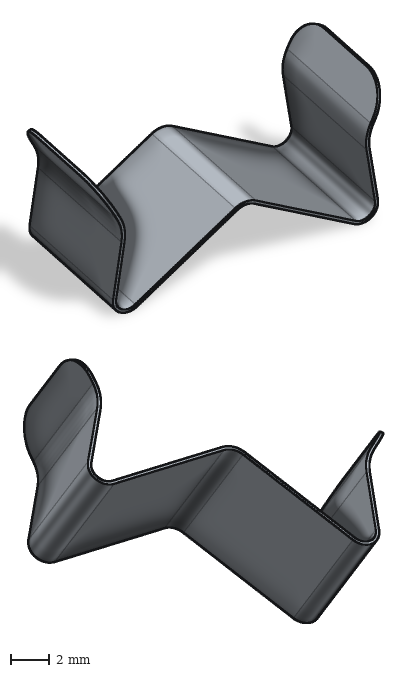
import cadquery as cq
import math

strip_width = 8.0
overall_height = 8.3
thickness = 0.2
corner_radius = 2.0

crest_radius = 1.05
foot_radius = 0.8
neck_radius = 2.5

web_slope = 31.0
leg_lean = 8.5
lip_flare = 26.5

foot_center_y = 7.27
leg_length = 3.55


def direction(angle):
    """Unit (Y, Z) vector at an angle in degrees, counterclockwise from +Y."""
    return math.cos(math.radians(angle)), math.sin(math.radians(angle))


def move(point, distance, angle):
    dy, dz = direction(angle)
    return point[0] + distance * dy, point[1] + distance * dz


web_normal = 90 - web_slope

foot_center = (foot_center_y, foot_radius + thickness)
crest_to_foot = crest_radius + thickness + foot_radius
web_length = (foot_center_y - crest_to_foot * direction(web_normal)[0]) / direction(web_slope)[0]
crest_center = move(
    move(foot_center, -crest_to_foot, web_normal), web_length, 180 - web_slope
)
foot_to_neck = foot_radius + thickness + neck_radius
neck_center = move(move(foot_center, foot_to_neck, leg_lean), leg_length, 90 + leg_lean)

lip_angle = 90 - lip_flare
lip_start = move(neck_center, neck_radius + thickness, 180 - lip_flare)
lip_length = (overall_height - lip_start[1]) / direction(lip_angle)[1]


def bend_points(center, radius, start, end):
    """Start, middle and end points of a bend arc."""
    return [move(center, radius, angle) for angle in (start, (start + end) / 2, end)]


def face_bends(upper):
    """Arcs of the upper (inner) or lower (outer) sheet face, from crest to lip."""
    outside = thickness if upper else 0
    inside = 0 if upper else thickness
    return [
        bend_points(crest_center, crest_radius + outside, 90, web_normal),
        bend_points(foot_center, foot_radius + inside, 180 + web_normal, 360 + leg_lean),
        bend_points(neck_center, neck_radius + outside, 180 + leg_lean, 180 - lip_flare),
    ]


def half_spring():
    """The +Y half of the strip, cut at the middle of the crest."""
    upper_bends = face_bends(upper=True)
    lower_bends = face_bends(upper=False)
    crest_bottom = lower_bends[0][0]
    profile = cq.Workplane("YZ").moveTo(*crest_bottom)
    for start, middle, end in upper_bends:
        profile = profile.lineTo(*start).threePointArc(middle, end)
    profile = profile.lineTo(*move(upper_bends[-1][-1], lip_length, lip_angle))
    profile = profile.lineTo(*move(lower_bends[-1][-1], lip_length, lip_angle))
    for start, middle, end in reversed(lower_bends):
        profile = profile.lineTo(*end).threePointArc(middle, start)
    return profile.wire().extrude(strip_width / 2, both=True)


def round_lip_corners(half):
    """Round the two short edges across the sheet at the end of the lip."""
    corners = half.faces(">Z").edges("not |X")
    return corners.fillet(corner_radius)


half = round_lip_corners(half_spring())
result = half.union(half.mirror("XZ"))